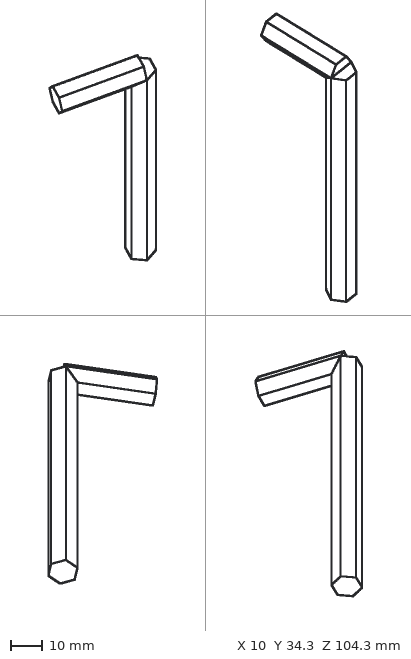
import cadquery as cq
import math

overall_height = 104.3
overall_depth = 34.3
across_corners = 10.0

half_flats = across_corners / 2 * math.cos(math.pi / 6)
long_arm_length = overall_height - half_flats
short_arm_length = overall_depth - half_flats


def hex_bar(plane_name, center, length):
    """Hexagonal bar starting at center and running along the plane normal."""
    plane = cq.Workplane(plane_name, origin=center)
    return plane.polygon(6, across_corners).extrude(length)


long_arm = hex_bar("XY", (0, 0, 0), long_arm_length)

short_arm = hex_bar("XZ", (0, 0, long_arm_length), short_arm_length)

result = long_arm.union(short_arm)